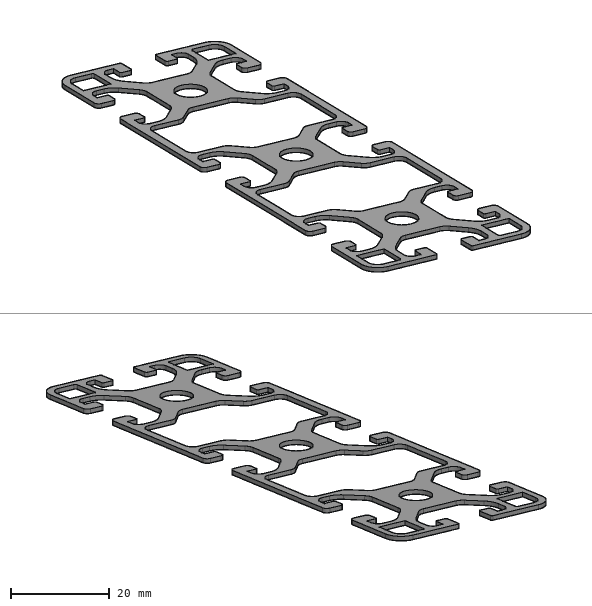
import cadquery as cq
import math

length = 120.0
cell_count = 3
cell = length / cell_count
half_cell = cell / 2
thickness = 1.0
corner_radius = 4.0
bore_diameter = 6.8
overcut = 1.2

side_slot = dict(
    mouth=4.0,
    lip_width=3.1,
    lip_depth=4.7,
    wall=2.0,
    half_width=10.2,
    floor=7.8,
    floor_half=5.3,
    outer_round=1.1,
    tip_round=0.8,
    hook_round=0.4,
    roof_round=1.8,
    shoulder_round=3.8,
    floor_round=2.4,
)

end_slot = dict(
    mouth=4.1,
    lip_width=2.9,
    lip_depth=4.5,
    wall=1.8,
    half_width=10.0,
    floor=7.9,
    floor_half=5.2,
    outer_round=0.4,
    tip_round=0.5,
    hook_round=0.4,
    roof_round=1.7,
    shoulder_round=4.3,
    floor_round=2.4,
)

chamber_half_width = 8.3
chamber_waist_half_width = 12.4
chamber_wall = 2.0
chamber_waist_half_height = 5.3
chamber_corner_round = 1.9
chamber_bend_round = 2.4

hollow_wall = 1.7
hollow_size = 6.6
hollow_outer_round = 2.3
hollow_small_round = 0.5


def rounded_outline(corners):
    """Closed wire through (x, y, radius) corners, each rounded by a tangent arc."""
    stretches = []
    for i, (x, y, radius) in enumerate(corners):
        before = corners[i - 1]
        after = corners[(i + 1) % len(corners)]
        corner = cq.Vector(x, y)
        to_before = (cq.Vector(before[0], before[1]) - corner).normalized()
        to_after = (cq.Vector(after[0], after[1]) - corner).normalized()
        half_angle = to_before.getAngle(to_after) / 2
        setback = radius / math.tan(half_angle)
        reach = radius / math.sin(half_angle) - radius
        start = corner + to_before * setback
        middle = corner + (to_before + to_after).normalized() * reach
        end = corner + to_after * setback
        stretches.append((start, middle, end, radius))

    first_end = stretches[0][2]
    outline = cq.Workplane("XY").moveTo(first_end.x, first_end.y)
    for start, middle, end, radius in stretches[1:] + stretches[:1]:
        outline = outline.lineTo(start.x, start.y)
        if radius > 0:
            outline = outline.threePointArc((middle.x, middle.y), (end.x, end.y))
    return outline.wire()


def mirrored(half, across_x):
    """Complete a chain of corners with its reflection, in reversed order."""
    if across_x:
        return half + [(x, -y, r) for x, y, r in reversed(half)]
    return half + [(-x, y, r) for x, y, r in reversed(half)]


def slot_cutter(s):
    """T-slot opening toward +Y, with the cell centre at the origin."""
    lip_end = s["mouth"] + s["lip_width"]
    tip = half_cell - s["lip_depth"]
    roof = half_cell - s["wall"]
    flank_base = s["floor"] + s["half_width"] - s["floor_half"]
    flare = s["mouth"] + s["outer_round"] + overcut
    half = [
        (flare, half_cell + overcut, 0),
        (flare, half_cell, 0),
        (s["mouth"], half_cell, s["outer_round"]),
        (s["mouth"], tip, s["tip_round"]),
        (lip_end, tip, s["hook_round"]),
        (lip_end, roof, 0),
        (s["half_width"], roof, s["roof_round"]),
        (s["half_width"], flank_base, s["shoulder_round"]),
        (s["floor_half"], s["floor"], s["floor_round"]),
    ]
    return rounded_outline(mirrored(half, across_x=False)).extrude(thickness)


def chamber_cutter():
    """Large chamber with 45 degree shoulders, centred on the origin."""
    top = half_cell - chamber_wall
    shoulder = chamber_waist_half_height + chamber_waist_half_width - chamber_half_width
    upper = [
        (-chamber_waist_half_width, chamber_waist_half_height, chamber_bend_round),
        (-chamber_half_width, shoulder, chamber_bend_round),
        (-chamber_half_width, top, chamber_corner_round),
        (chamber_half_width, top, chamber_corner_round),
        (chamber_half_width, shoulder, chamber_bend_round),
        (chamber_waist_half_width, chamber_waist_half_height, chamber_bend_round),
    ]
    return rounded_outline(mirrored(upper, across_x=True)).extrude(thickness)


def corner_hollow_cutter():
    """Hollow of the corner at +X, +Y."""
    outer_x = length / 2 - hollow_wall
    outer_y = half_cell - hollow_wall
    corners = [
        (outer_x - hollow_size, outer_y - hollow_size, 0),
        (outer_x, outer_y - hollow_size, hollow_small_round),
        (outer_x, outer_y, hollow_outer_round),
        (outer_x - hollow_size, outer_y, 0),
    ]
    return rounded_outline(corners).extrude(thickness)


cell_centres = [(i - (cell_count - 1) / 2) * cell for i in range(cell_count)]

result = cq.Workplane("XY").box(length, cell, thickness, centered=(True, True, False))
result = result.edges("|Z").fillet(corner_radius)
bores = cq.Workplane("XY").pushPoints([(x, 0) for x in cell_centres])
result = result.cut(bores.circle(bore_diameter / 2).extrude(thickness))

top_slot = slot_cutter(side_slot)
for x in cell_centres:
    slot = top_slot.translate((x, 0, 0))
    result = result.cut(slot).cut(slot.mirror("XZ"))

right_slot = slot_cutter(end_slot).rotate((0, 0, 0), (0, 0, 1), -90)
right_slot = right_slot.translate((cell_centres[-1], 0, 0))
result = result.cut(right_slot).cut(right_slot.mirror("YZ"))

chamber = chamber_cutter()
for x in cell_centres[:-1]:
    result = result.cut(chamber.translate((x + half_cell, 0, 0)))

upper_right_hollow = corner_hollow_cutter()
lower_right_hollow = upper_right_hollow.mirror("XZ")
for hollow in (upper_right_hollow, lower_right_hollow):
    result = result.cut(hollow).cut(hollow.mirror("YZ"))